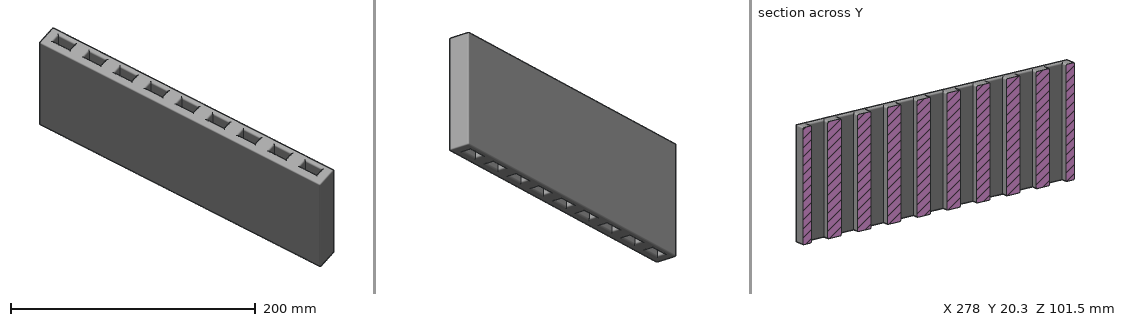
import cadquery as cq

length = 278.0
thickness = 20.3
height = 101.5
edge_radius = 1.17

slot_count = 9
slot_row_span = 244.0
slot_pitch = slot_row_span / (slot_count - 1)
slot_length = 16.0
slot_width = 7.2
slot_offset_y = 1.25
rim_radius = 1.5


def rounded_panel():
    """Panel with every outer edge rounded."""
    return cq.Workplane("XY").box(length, thickness, height).edges().fillet(edge_radius)


def cut_slots(panel):
    """Cut the evenly spaced row of slots, centred along the length."""
    slots = (
        cq.Workplane("XY")
        .center(0, slot_offset_y)
        .rarray(slot_pitch, 2.8, slot_count, 1)
        .rect(slot_length, slot_width)
        .extrude(height, both=True)
    )
    return panel.cut(slots)


def round_slot_rims(panel):
    """Round the slot mouths on the top and bottom faces."""
    half_x = (slot_row_span + slot_length) / 2 + rim_radius
    half_y = slot_width / 2 + rim_radius
    rims = cq.selectors.BoxSelector(
        (-half_x, slot_offset_y - half_y, -height),
        (half_x, slot_offset_y + half_y, height),
    )
    return panel.faces("<Z or >Z").edges(rims).fillet(rim_radius)


result = round_slot_rims(cut_slots(rounded_panel()))